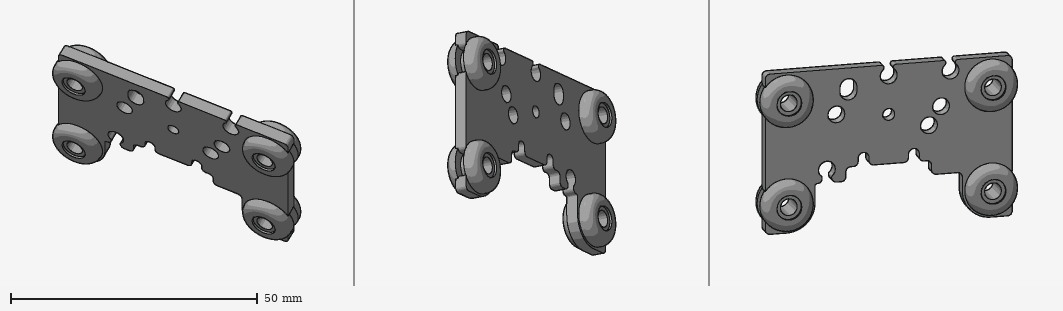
import cadquery as cq

OVERALL_LENGTH = 54.0

PLATE_WIDTH = 52.0
PLATE_HEIGHT = 34.0
PLATE_THICKNESS = 2.6
CORNER_RADIUS = 1.0
PLATE_TOP = PLATE_HEIGHT / 2
PLATE_BOTTOM = -PLATE_TOP

GROMMET_RADIUS = 5.5
GROMMET_LENGTH = 7.5
GROMMET_EDGE_RADIUS = 2.0
GROMMET_BORE_DIAMETER = 3.5
GROMMET_RECESS_RADIUS = 2.6
GROMMET_RECESS_DEPTH = 0.5
GROMMET_CORE_RADIUS = 3.5
GROMMET_SLOT_WIDTH = 4.95
GROMMET_FLANGE_THICKNESS = 2.75
GROMMET_X = OVERALL_LENGTH / 2 - GROMMET_RADIUS
GROMMET_Z = 11.0

LEG_RADIUS = PLATE_TOP - GROMMET_Z
LEG_INNER_X = GROMMET_X - LEG_RADIUS
LOWER_STEP_Z = -7.0
UPPER_STEP_X = 9.0
UPPER_STEP_Z = -4.0
LEFT_LEG_CORNER_RADIUS = 0.45
RIGHT_LEG_CORNER_RADIUS = CORNER_RADIUS

NOTCH_X = 5.3
NOTCH_RADIUS = 1.15
NOTCH_TOP_Z = -1.2

HOLE_DIAMETER = 3.5
HOLE_RADIUS = HOLE_DIAMETER / 2
HOLE_CENTRES = [(-11.0, 7.35), (11.0, 7.35), (8.5, 3.5)]
CENTRE_HOLE_RADIUS = 1.25
CENTRE_HOLE_Z = 6.5
OVAL_X = -8.5
OVAL_Z = 12.5
OVAL_LENGTH = 4.5
KEYHOLE_NECK = 2.0
KEYHOLE_RIDGE_RADIUS = 0.5
TOP_KEYHOLE_LIP_RADIUS = 0.5
TOP_KEYHOLE_XS = [0.0, 13.0]
TOP_KEYHOLE_Z = 14.75
LOWER_KEYHOLE_X = -13.0
LOWER_KEYHOLE_Z = -4.2

GROMMET_FRONT_Y = -GROMMET_LENGTH / 2
GROMMET_BACK_Y = GROMMET_LENGTH / 2
PLATE_BACK_Y = GROMMET_BACK_Y - GROMMET_FLANGE_THICKNESS
PLATE_FRONT_Y = PLATE_BACK_Y - PLATE_THICKNESS
PLATE_MIDDLE_Y = PLATE_BACK_Y - PLATE_THICKNESS / 2
GROMMET_CENTRES = [(sx * GROMMET_X, sz * GROMMET_Z) for sx in (-1, 1) for sz in (-1, 1)]


def prism(x_min, x_max, z_min, z_max):
    """Rectangular block spanning the plate thickness."""
    return cq.Workplane("XY").box(
        x_max - x_min, PLATE_THICKNESS, z_max - z_min, centered=False
    ).translate((x_min, PLATE_FRONT_Y, z_min))


def cylinder(x, z, radius, y_min=PLATE_FRONT_Y, length=PLATE_THICKNESS):
    """Cylinder along +Y; spans the plate thickness by default."""
    return cq.Workplane("XZ", origin=(x, y_min, z)).circle(radius).extrude(-length)


def round_corners(plate, points, radius):
    """Fillet the edges that run through the plate at the given (x, z) points."""
    for x, z in points:
        edge = cq.selectors.NearestToPointSelector((x, PLATE_MIDDLE_Y, z))
        plate = plate.edges("|Y").edges(edge).fillet(radius)
    return plate


def make_blank():
    """Plate with its stepped lower cut-out and rounded legs."""
    half_width = PLATE_WIDTH / 2
    plate = prism(-half_width, half_width, PLATE_BOTTOM, PLATE_TOP)
    plate = plate.cut(prism(-LEG_INNER_X, LEG_INNER_X, PLATE_BOTTOM, LOWER_STEP_Z))
    plate = plate.cut(prism(-UPPER_STEP_X, UPPER_STEP_X, LOWER_STEP_Z, UPPER_STEP_Z))
    for side in (-1, 1):
        plate = round_corners(
            plate,
            [
                (side * half_width, PLATE_TOP),
                (side * half_width, PLATE_BOTTOM),
                (side * UPPER_STEP_X, UPPER_STEP_Z),
                (side * UPPER_STEP_X, LOWER_STEP_Z),
            ],
            CORNER_RADIUS,
        )
        plate = round_corners(plate, [(side * LEG_INNER_X, PLATE_BOTTOM)], LEG_RADIUS)
    plate = round_corners(plate, [(-LEG_INNER_X, LOWER_STEP_Z)], LEFT_LEG_CORNER_RADIUS)
    plate = round_corners(plate, [(LEG_INNER_X, LOWER_STEP_Z)], RIGHT_LEG_CORNER_RADIUS)
    return plate


def cut_notch(plate, x):
    """Round-ended notch open to the upper step."""
    end_z = NOTCH_TOP_Z - NOTCH_RADIUS
    left = x - NOTCH_RADIUS
    right = x + NOTCH_RADIUS
    plate = plate.cut(prism(left, right, UPPER_STEP_Z, end_z))
    plate = plate.cut(cylinder(x, end_z, NOTCH_RADIUS))
    return round_corners(plate, [(left, UPPER_STEP_Z), (right, UPPER_STEP_Z)], CORNER_RADIUS)


def cut_keyhole(plate, x, z, mouth_z, lip_radius):
    """Round hole joined to a plate edge by a narrower neck with rounded lips."""
    half_neck = KEYHOLE_NECK / 2
    ridge_offset = (HOLE_RADIUS**2 - half_neck**2) ** 0.5
    ridge_z = z + ridge_offset if mouth_z > z else z - ridge_offset
    plate = plate.cut(cylinder(x, z, HOLE_RADIUS))
    plate = plate.cut(prism(x - half_neck, x + half_neck, min(z, mouth_z), max(z, mouth_z)))
    sides = (x - half_neck, x + half_neck)
    plate = round_corners(plate, [(side, ridge_z) for side in sides], KEYHOLE_RIDGE_RADIUS)
    return round_corners(plate, [(side, mouth_z) for side in sides], lip_radius)


def cut_holes(plate):
    """Round holes and the upright oval."""
    for x, z in HOLE_CENTRES:
        plate = plate.cut(cylinder(x, z, HOLE_RADIUS))
    plate = plate.cut(cylinder(0, CENTRE_HOLE_Z, CENTRE_HOLE_RADIUS))
    oval = (
        cq.Workplane("XZ", origin=(OVAL_X, PLATE_FRONT_Y, OVAL_Z))
        .slot2D(OVAL_LENGTH, HOLE_DIAMETER, 90)
        .extrude(-PLATE_THICKNESS)
    )
    return plate.cut(oval)


def cut_grommet_slot(plate, x, z):
    """Seat for the grommet core, open to the nearest side edge through a narrower slot."""
    edge_x = PLATE_WIDTH / 2 if x > 0 else -PLATE_WIDTH / 2
    low = z - GROMMET_SLOT_WIDTH / 2
    high = z + GROMMET_SLOT_WIDTH / 2
    plate = plate.cut(cylinder(x, z, GROMMET_CORE_RADIUS))
    plate = plate.cut(prism(min(x, edge_x), max(x, edge_x), low, high))
    return round_corners(plate, [(edge_x, low), (edge_x, high)], CORNER_RADIUS)


def make_grommet(x, z):
    """Two rounded flanges on a core, bored through and recessed at both ends."""
    front = cylinder(x, z, GROMMET_RADIUS, GROMMET_FRONT_Y, GROMMET_FLANGE_THICKNESS)
    front = front.faces("<Y").edges().fillet(GROMMET_EDGE_RADIUS)
    back = cylinder(x, z, GROMMET_RADIUS, PLATE_BACK_Y, GROMMET_FLANGE_THICKNESS)
    back = back.faces(">Y").edges().fillet(GROMMET_EDGE_RADIUS)
    core = cylinder(x, z, GROMMET_CORE_RADIUS, GROMMET_FRONT_Y, GROMMET_LENGTH)
    grommet = core.union(front).union(back)
    for recess_y in (GROMMET_FRONT_Y, GROMMET_BACK_Y - GROMMET_RECESS_DEPTH):
        grommet = grommet.cut(cylinder(x, z, GROMMET_RECESS_RADIUS, recess_y, GROMMET_RECESS_DEPTH))
    return grommet.cut(cylinder(x, z, GROMMET_BORE_DIAMETER / 2, GROMMET_FRONT_Y, GROMMET_LENGTH))


plate = make_blank()
for side in (-1, 1):
    plate = cut_notch(plate, side * NOTCH_X)
for keyhole_x in TOP_KEYHOLE_XS:
    plate = cut_keyhole(plate, keyhole_x, TOP_KEYHOLE_Z, PLATE_TOP, TOP_KEYHOLE_LIP_RADIUS)
plate = cut_keyhole(plate, LOWER_KEYHOLE_X, LOWER_KEYHOLE_Z, LOWER_STEP_Z, CORNER_RADIUS)
plate = cut_holes(plate)
for grommet_x, grommet_z in GROMMET_CENTRES:
    plate = cut_grommet_slot(plate, grommet_x, grommet_z)

result = plate
for grommet_x, grommet_z in GROMMET_CENTRES:
    result = result.union(make_grommet(grommet_x, grommet_z))